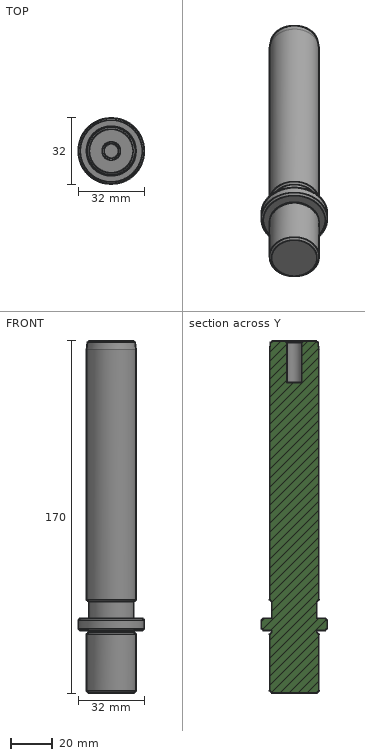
import cadquery as cq

total_length = 170.0
shaft_radius = 24.0 / 2
flange_radius = 32.0 / 2
neck_radius = 22.0 / 2

flange_bottom = 30.1
flange_top = 36.2
shaft_bottom = 44.0

edge_chamfer = 1.0
flange_chamfer = 1.0
groove_width = 0.7

lead_length = 3.9
lead_radius = 11.5
tip_chamfer_width = 1.0
tip_chamfer_height = 0.7

hole_radius = 7.0 / 2
hole_mouth_radius = 8.8 / 2
hole_depth = 20.0


def make_body():
    """Revolve the half section: radius along X, height along Z."""
    groove_bottom = flange_bottom - groove_width
    lower_chamfer_radius = shaft_radius - edge_chamfer
    flange_face_radius = flange_radius - flange_chamfer
    section = [
        (0, 0),
        (lower_chamfer_radius, 0),
        (shaft_radius, edge_chamfer),
        (shaft_radius, groove_bottom - edge_chamfer),
        (neck_radius, groove_bottom),
        (neck_radius, flange_bottom),
        (flange_face_radius, flange_bottom),
        (flange_radius, flange_bottom + flange_chamfer),
        (flange_radius, flange_top - flange_chamfer),
        (flange_face_radius, flange_top),
        (neck_radius, flange_top),
        (neck_radius, shaft_bottom),
        (shaft_radius, shaft_bottom + edge_chamfer),
        (shaft_radius, total_length - lead_length),
        (lead_radius, total_length - tip_chamfer_height),
        (lead_radius - tip_chamfer_width, total_length),
        (0, total_length),
    ]
    return cq.Workplane("XZ").polyline(section).close().revolve(360, (0, 0), (0, 1))


def make_hole():
    """Flat-bottomed hole with a 45 degree countersunk mouth."""
    countersink_depth = hole_mouth_radius - hole_radius
    section = [
        (0, total_length - hole_depth),
        (hole_radius, total_length - hole_depth),
        (hole_radius, total_length - countersink_depth),
        (hole_mouth_radius, total_length),
        (0, total_length),
    ]
    return cq.Workplane("XZ").polyline(section).close().revolve(360, (0, 0), (0, 1))


result = make_body().cut(make_hole())